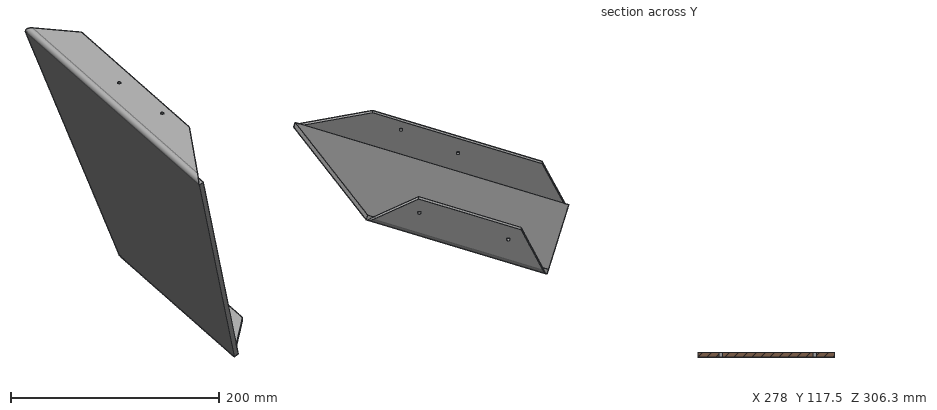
import cadquery as cq
import math

height = 306.3
depth = 117.5
sheet = 5.0
hole_diameter = 3.0

plate_top_half = 139.0
plate_bottom_half = 92.0

top_reach = 34.0
bottom_reach = 35.0

top_free_left = -100.2
top_free_right = 72.0
top_fold_half = 138.5
bottom_free_half = 52.0
bottom_fold_half = 90.7

top_holes = [(-20.0, 23.5), (40.0, 30.0)]
bottom_holes = [(-43.8, 103.5), (46.5, 103.5)]

top_corner = (sheet, height - sheet)
bottom_corner = (depth - bottom_reach, sheet)
lean_run = bottom_corner[0] - top_corner[0]
lean_rise = top_corner[1] - bottom_corner[1]
lean = math.atan2(lean_run, lean_rise)
plate_length = math.hypot(lean_run, lean_rise)


def fold_point(corner, angle):
    """Point on the outer arc of a fold, at an angle from +Y toward +Z."""
    return (corner[0] + sheet * math.cos(angle), corner[1] + sheet * math.sin(angle))


def make_plate():
    """Tapered plate, with its back face through both inner fold corners."""
    back_face = cq.Plane(
        origin=(0, *bottom_corner),
        xDir=(1, 0, 0),
        normal=(0, -math.cos(lean), -math.sin(lean)),
    )
    outline = [
        (-plate_bottom_half, 0),
        (plate_bottom_half, 0),
        (plate_top_half, plate_length),
        (-plate_top_half, plate_length),
    ]
    return cq.Workplane(back_face).polyline(outline).close().extrude(sheet)


def make_flange(corner, reach, outward, free_ends, fold_half, holes):
    """Flange and fold, trimmed to a trapezoid in plan; outward is +1 for up and -1 for down."""
    front_angle = math.pi + lean
    outer_angle = outward * math.pi / 2 % (2 * math.pi)
    middle_angle = (front_angle + outer_angle) / 2
    outer_z = corner[1] + outward * sheet
    free_y = corner[0] + reach
    profile = (
        cq.Workplane("YZ")
        .moveTo(*corner)
        .lineTo(free_y, corner[1])
        .lineTo(free_y, outer_z)
        .lineTo(corner[0], outer_z)
        .threePointArc(fold_point(corner, middle_angle), fold_point(corner, front_angle))
        .close()
        .extrude(fold_half, both=True)
    )
    fold_y = corner[0] - sheet
    plan = (
        cq.Workplane("XY")
        .polyline([
            (-fold_half, fold_y),
            (fold_half, fold_y),
            (free_ends[1], free_y),
            (free_ends[0], free_y),
        ])
        .close()
        .extrude(height)
    )
    drills = cq.Workplane("XY").pushPoints(holes).circle(hole_diameter / 2).extrude(height)
    return profile.intersect(plan).cut(drills)


top_flange = make_flange(
    top_corner, top_reach, 1, (top_free_left, top_free_right), top_fold_half, top_holes
)
bottom_flange = make_flange(
    bottom_corner, bottom_reach, -1, (-bottom_free_half, bottom_free_half), bottom_fold_half, bottom_holes
)
result = make_plate().union(top_flange).union(bottom_flange)